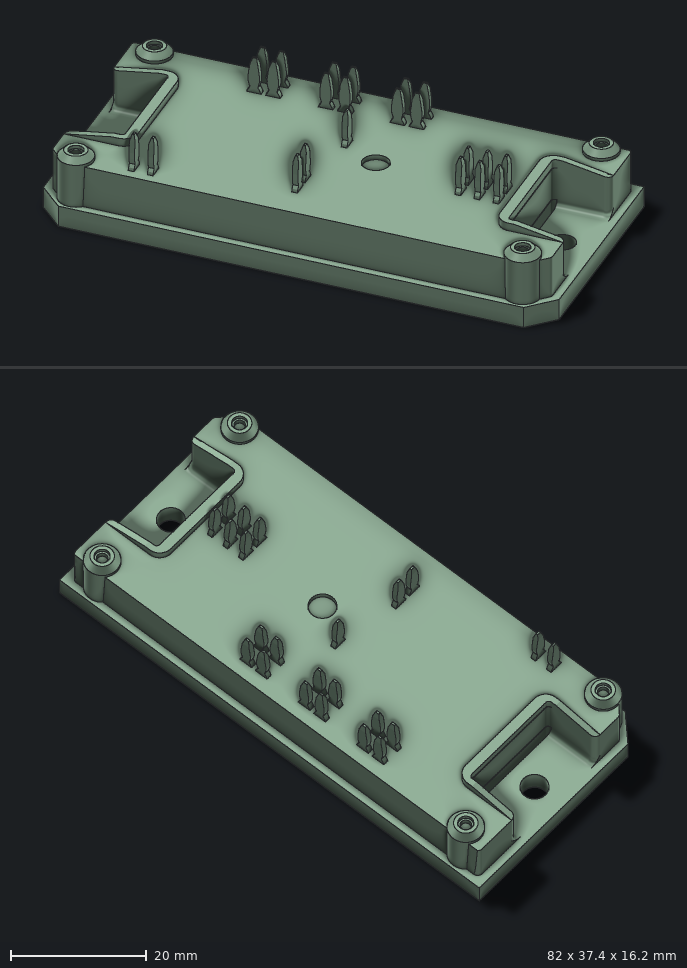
import cadquery as cq
length = 82.0
width = 37.4
base_height = 3.5
base_chamfer = 4.0

margin = 1.3
housing_length = length - 2 * margin
housing_width_bottom = 34.85
housing_width_top = 34.4
housing_top = 10.3
housing_chamfer = 3.1
housing_corner_radius = 0.9

boss_x = 35.5
boss_y = 15.4
boss_radius = 2.8
boss_shoulder = 10.8
boss_top = 11.8
boss_flat_radius = 1.8
boss_hole_diameter = 2.4
boss_hole_depth = 0.6
boss_pilot_diameter = 1.7
boss_pilot_depth = 1.4

pocket_back_x = 30.5
pocket_half_width = 8.85
pocket_corner_radius = 0.6
mouth_radius = 1.1
wall_step = 0.1
upper_step_height = 10.2
floor_fillet = 1.15
lower_step_height = base_height + floor_fillet
slit_width = 0.6
rim_back_x = 28.8
rim_half_width = 9.9
rim_corner_radius = 2.2
rim_top = 11.65
ramp_start_x = 32.0

hole_diameter = 4.3
mount_x = 35.5
center_hole_x = 5.9
center_hole_depth = 0.8

pin_top = 16.2
pin_pitch = 3.0
pin_thickness = 0.9
pin_tip_thickness = 0.3
pin_tip_bevel = 1.0
pin_profile = [
    (1.15, housing_top),
    (1.0, 10.75),
    (0.65, 11.3),
    (0.9, 12.3),
    (0.9, 13.3),
    (0.65, 15.2),
    (0.3, pin_top),
]

housing_end = housing_length / 2
housing_height = housing_top - base_height


def make_base():
    return (
        cq.Workplane("XY")
        .rect(length, width)
        .extrude(base_height)
        .edges("|Z and <Y")
        .chamfer(base_chamfer)
    )


def make_housing():
    """Block with leaning long sides, chamfered front corners and rounded end corners."""
    half_bottom = housing_width_bottom / 2
    half_top = housing_width_top / 2
    block = (
        cq.Workplane("YZ", origin=(-housing_end, 0, 0))
        .moveTo(-half_bottom, base_height)
        .lineTo(half_bottom, base_height)
        .lineTo(half_top, housing_top)
        .lineTo(-half_top, housing_top)
        .close()
        .extrude(housing_length)
    )
    outline = (
        cq.Workplane("XY", origin=(0, 0, base_height))
        .rect(housing_length, housing_width_bottom)
        .extrude(housing_height)
        .edges("|Z and <Y")
        .chamfer(housing_chamfer)
        .edges("|Z and (<X or >X)")
        .fillet(housing_corner_radius)
    )
    return block.intersect(outline)


def end_block(back_x, half_width, bottom, top, corner_radius):
    """Block from the -X end of the housing inwards, with two rounded inner corners."""
    return (
        cq.Workplane("XY", origin=(0, 0, bottom))
        .moveTo(-(housing_end + back_x) / 2, 0)
        .rect(housing_end - back_x, 2 * half_width)
        .extrude(top - bottom)
        .edges("|Z and >X")
        .fillet(corner_radius)
    )


def make_rim():
    """Raised border of the -X pocket, ramping down to the housing end."""
    block = end_block(rim_back_x, rim_half_width, base_height, rim_top, rim_corner_radius)
    side = (
        cq.Workplane("XZ", origin=(0, rim_half_width, 0))
        .moveTo(-housing_end, base_height)
        .lineTo(-housing_end, housing_top)
        .lineTo(-ramp_start_x, rim_top)
        .lineTo(-rim_back_x, rim_top)
        .lineTo(-rim_back_x, base_height)
        .close()
        .extrude(2 * rim_half_width)
    )
    return block.intersect(side)


def make_pocket():
    """Cutter for the -X pocket, flaring out at its mouth with a rounded corner on each side."""
    cutter = end_block(pocket_back_x, pocket_half_width, base_height, rim_top, pocket_corner_radius)
    for side in (-1, 1):
        wall_y = side * pocket_half_width
        arc_y = side * (pocket_half_width + mouth_radius)
        flare = (
            cq.Workplane("XY", origin=(0, 0, base_height))
            .moveTo(-housing_end, wall_y)
            .lineTo(-housing_end + mouth_radius, wall_y)
            .radiusArc((-housing_end, arc_y), side * mouth_radius)
            .close()
            .extrude(rim_top - base_height)
        )
        cutter = cutter.union(flare)
    return cutter


def fillet_section(x):
    """Section of the floor fillet along the +Y side wall, on a plane across X."""
    return (
        cq.Workplane("YZ", origin=(x, 0, 0))
        .moveTo(pocket_half_width, base_height)
        .lineTo(pocket_half_width, base_height + floor_fillet)
        .radiusArc((pocket_half_width - floor_fillet, base_height), floor_fillet)
        .close()
    )


def make_floor_fillets():
    """Hollow fillets along the pocket's side walls and around its mouth corners."""
    start_x = -housing_end + mouth_radius
    end_x = -pocket_back_x - slit_width
    straight = fillet_section(start_x).extrude(end_x - start_x)
    arc_y = pocket_half_width + mouth_radius
    turn = fillet_section(start_x).revolve(90, (arc_y, 0.8, 0), (arc_y, 0, 0))
    inside_end = cq.Workplane("XY").box(housing_length, width, 2 * housing_top)
    fillet = straight.union(turn.intersect(inside_end))
    return fillet.union(fillet.mirror("XZ"))


def make_wall_steps():
    """Cutter that sets the back wall of the -X pocket back in two steps below the rim."""
    first = end_block(
        pocket_back_x - wall_step, pocket_half_width, base_height, upper_step_height, pocket_corner_radius
    )
    second = end_block(
        pocket_back_x - 2 * wall_step, pocket_half_width, base_height, lower_step_height, pocket_corner_radius
    )
    return first.union(second)


def make_slit():
    """Cutter for the gap through the base along the back wall of the -X pocket."""
    back_x = pocket_back_x - 2 * wall_step
    block = end_block(back_x, pocket_half_width, 0, base_height, pocket_corner_radius)
    floor_end_x = pocket_back_x + slit_width
    keep = (
        cq.Workplane("XY")
        .moveTo(-(floor_end_x + back_x) / 2, 0)
        .rect(floor_end_x - back_x, 2 * pocket_half_width)
        .extrude(base_height)
    )
    return block.intersect(keep)


def on_both_ends(shape):
    return shape.union(shape.mirror("YZ"))


def make_boss():
    """Round boss with a coned top and a stepped blind hole, on the Z axis."""
    return (
        cq.Workplane("XZ")
        .moveTo(0, base_height)
        .lineTo(boss_radius, base_height)
        .lineTo(boss_radius, boss_shoulder)
        .lineTo(boss_flat_radius, boss_top)
        .lineTo(boss_hole_diameter / 2, boss_top)
        .lineTo(boss_hole_diameter / 2, boss_top - boss_hole_depth)
        .lineTo(boss_pilot_diameter / 2, boss_top - boss_hole_depth)
        .lineTo(boss_pilot_diameter / 2, boss_top - boss_pilot_depth)
        .lineTo(0, boss_top - boss_pilot_depth)
        .close()
        .revolve(360, (0, 0, 0), (0, 1, 0))
    )


def make_pin():
    """Flat pin on the Z axis, wide along X, with a wedge-shaped tip."""
    left = [(-x, z) for x, z in reversed(pin_profile)]
    blade = (
        cq.Workplane("XZ", origin=(0, pin_thickness / 2, 0))
        .polyline(pin_profile + left)
        .close()
        .extrude(pin_thickness)
    )
    half = pin_thickness / 2
    half_tip = pin_tip_thickness / 2
    foot_half_width = pin_profile[0][0]
    wedge = (
        cq.Workplane("YZ", origin=(-foot_half_width, 0, 0))
        .moveTo(-half, housing_top)
        .lineTo(half, housing_top)
        .lineTo(half, pin_top - pin_tip_bevel)
        .lineTo(half_tip, pin_top)
        .lineTo(-half_tip, pin_top)
        .lineTo(-half, pin_top - pin_tip_bevel)
        .close()
        .extrude(2 * foot_half_width)
    )
    return blade.intersect(wedge)


def pin_grid(first_x, first_y, columns, rows):
    """Pin places, starting from the corner with the lowest X and Y."""
    return [
        (first_x + i * pin_pitch, first_y + j * pin_pitch)
        for i in range(columns)
        for j in range(rows)
    ]


pins_along_x = (
    pin_grid(-17.95, 11.5, 2, 2)
    + pin_grid(-6.6, 11.5, 2, 2)
    + pin_grid(4.8, 11.5, 2, 2)
)
pins_along_y = (
    pin_grid(-26.65, -14.5, 2, 1)
    + pin_grid(-2.1, -10.9, 1, 2)
    + pin_grid(0.0, 3.3, 1, 1)
    + pin_grid(20.4, -2.55, 3, 2)
)

housing = make_housing()
housing = housing.union(on_both_ends(make_rim()))
housing = housing.cut(on_both_ends(make_pocket()))
housing = housing.cut(on_both_ends(make_wall_steps()))
housing = housing.union(on_both_ends(make_floor_fillets()))
result = make_base().union(housing)
result = result.cut(on_both_ends(make_slit()))

boss = make_boss()
for x in (-boss_x, boss_x):
    for y in (-boss_y, boss_y):
        result = result.union(boss.translate((x, y, 0)))

mount_holes = (
    cq.Workplane("XY")
    .pushPoints([(-mount_x, 0), (mount_x, 0)])
    .circle(hole_diameter / 2)
    .extrude(base_height)
)
center_hole = (
    cq.Workplane("XY", origin=(0, 0, housing_top))
    .moveTo(center_hole_x, 0)
    .circle(hole_diameter / 2)
    .extrude(-center_hole_depth)
)
result = result.cut(mount_holes).cut(center_hole)

pin = make_pin()
turned_pin = pin.rotate((0, 0, 0), (0, 0, 1), 90)
for x, y in pins_along_x:
    result = result.union(pin.translate((x, y, 0)))
for x, y in pins_along_y:
    result = result.union(turned_pin.translate((x, y, 0)))